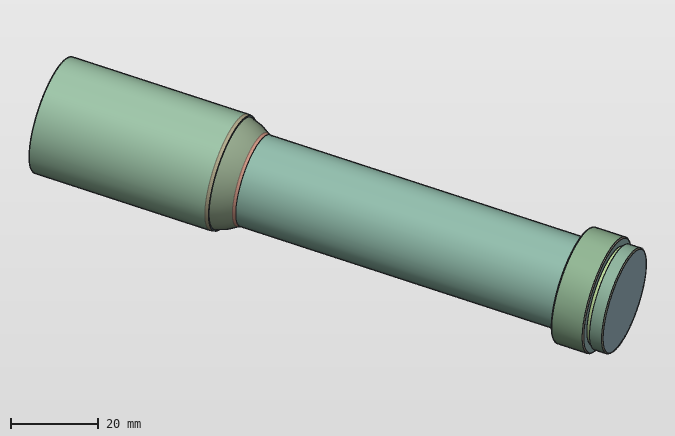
import cadquery as cq

total_length = 141.9
body_radius = 13.98
shaft_radius = 11.0

handle_length = 43.7
shoulder_edge_length = 0.9
shoulder_edge_drop = 0.1
shoulder_radius = 13.5
shoulder_end = 50.1
shoulder_foot_length = 0.7
shoulder_foot_rise = 0.3
shoulder_bulge = 0.3

collar_start = 129.5
collar_end = 137.6
groove_radius = 11.9
disc_start = 138.6
disc_radius = 12.7
edge_chamfer = 0.3
handle_chamfer = 0.1

arc_start = (handle_length + shoulder_edge_length, shoulder_radius)
arc_end = (shoulder_end - shoulder_foot_length, shaft_radius + shoulder_foot_rise)
arc_middle = (
    (arc_start[0] + arc_end[0]) / 2,
    (arc_start[1] + arc_end[1]) / 2 + shoulder_bulge,
)

half_section = (
    cq.Workplane("XY")
    .moveTo(0, 0)
    .lineTo(0, body_radius - handle_chamfer)
    .lineTo(handle_chamfer, body_radius)
    .lineTo(handle_length, body_radius)
    .lineTo(arc_start[0], body_radius - shoulder_edge_drop)
    .lineTo(*arc_start)
    .threePointArc(arc_middle, arc_end)
    .lineTo(shoulder_end, shaft_radius)
    .lineTo(collar_start, shaft_radius)
    .lineTo(collar_start, body_radius - edge_chamfer)
    .lineTo(collar_start + edge_chamfer, body_radius)
    .lineTo(collar_end - edge_chamfer, body_radius)
    .lineTo(collar_end, body_radius - edge_chamfer)
    .lineTo(collar_end, groove_radius)
    .lineTo(disc_start, groove_radius)
    .lineTo(disc_start, disc_radius)
    .lineTo(total_length - edge_chamfer, disc_radius)
    .lineTo(total_length, disc_radius - edge_chamfer)
    .lineTo(total_length, 0)
    .close()
)

result = half_section.revolve(360, (0, 0, 0), (1, 0, 0))